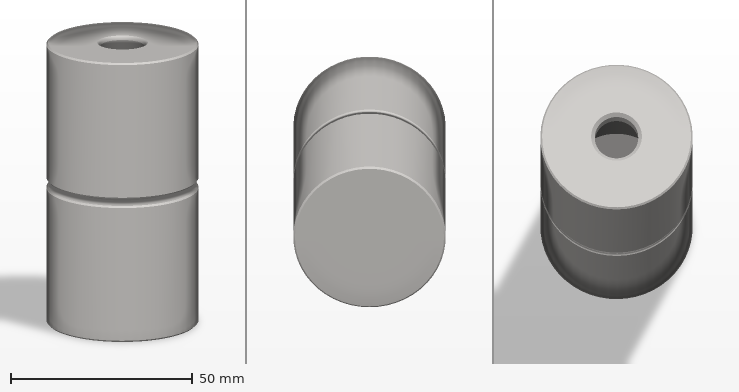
import cadquery as cq

total_height = 80.0
outer_diameter = 42.0
rim_chamfer = 0.5
joint_height = total_height / 2

neck_gap = 2.0
neck_length = neck_gap / 2
neck_diameter = 30.0

top_wall = 4.6
cavity_diameter = 28.0
hole_diameter = 12.0
hole_mouth_diameter = 14.0
hole_chamfer = (hole_mouth_diameter - hole_diameter) / 2

barrel_height = joint_height - neck_length


def barrel(base_height):
    """Cylinder with both rims chamfered, standing on the given height."""
    return (
        cq.Workplane("XY", origin=(0, 0, base_height))
        .circle(outer_diameter / 2)
        .extrude(barrel_height)
        .edges("%CIRCLE")
        .chamfer(rim_chamfer)
    )


def cylinder(diameter, base_height, height):
    """Plain cylinder on the common axis."""
    return cq.Workplane("XY", origin=(0, 0, base_height)).circle(diameter / 2).extrude(height)


def make_lower_body():
    """Solid barrel with a short neck on top."""
    neck = cylinder(neck_diameter, barrel_height, neck_length)
    return barrel(0).union(neck)


def make_upper_body():
    """Hollow barrel with a neck below and a chamfered hole through its top wall."""
    neck = cylinder(neck_diameter, joint_height, neck_length)
    body = barrel(joint_height + neck_length).union(neck)

    cavity_height = total_height - top_wall - joint_height
    body = body.cut(cylinder(cavity_diameter, joint_height, cavity_height))

    body = body.faces(">Z").workplane(origin=(0, 0, total_height)).hole(hole_diameter, top_wall)
    return body.faces(">Z").edges(cq.selectors.RadiusNthSelector(0)).chamfer(hole_chamfer)


lower_body = make_lower_body()
upper_body = make_upper_body()

result = cq.Compound.makeCompound([lower_body.val(), upper_body.val()])